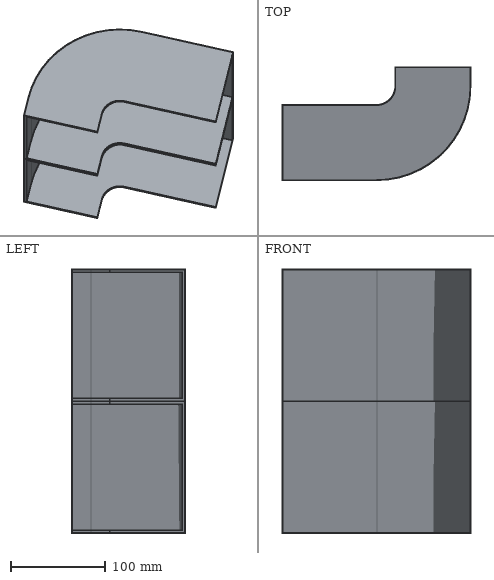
import cadquery as cq

LENGTH_X = 200.0
LENGTH_Y = 120.0
STACK_HEIGHT = 280.0
CHANNEL_COUNT = 2
CHANNEL_HEIGHT = STACK_HEIGHT / CHANNEL_COUNT
FLANGE_WIDTH = 80.0
INNER_BEND_RADIUS = 20.0
OUTER_BEND_RADIUS = FLANGE_WIDTH + INNER_BEND_RADIUS
WALL = 3.0

BEND_CENTER_X = LENGTH_X - OUTER_BEND_RADIUS
BEND_CENTER_Y = OUTER_BEND_RADIUS


def bent_strip(width, height):
    """Plate following the outer edge through a quarter bend, width measured inward."""
    inner_radius = OUTER_BEND_RADIUS - width
    inner_x = LENGTH_X - width
    return (
        cq.Workplane("XY")
        .moveTo(0, 0)
        .lineTo(BEND_CENTER_X, 0)
        .radiusArc((LENGTH_X, BEND_CENTER_Y), -OUTER_BEND_RADIUS)
        .lineTo(LENGTH_X, LENGTH_Y)
        .lineTo(inner_x, LENGTH_Y)
        .lineTo(inner_x, BEND_CENTER_Y)
        .radiusArc((BEND_CENTER_X, width), inner_radius)
        .lineTo(0, width)
        .close()
        .extrude(height)
    )


def channel(base_z):
    """C-section channel: an outer web with a flange at its bottom and top."""
    web = bent_strip(WALL, CHANNEL_HEIGHT)
    bottom_flange = bent_strip(FLANGE_WIDTH, WALL)
    top_flange = bottom_flange.translate((0, 0, CHANNEL_HEIGHT - WALL))
    body = web.union(bottom_flange).union(top_flange)
    return body.translate((0, 0, base_z))


channels = [channel(level * CHANNEL_HEIGHT).val() for level in range(CHANNEL_COUNT)]

result = cq.Compound.makeCompound(channels)